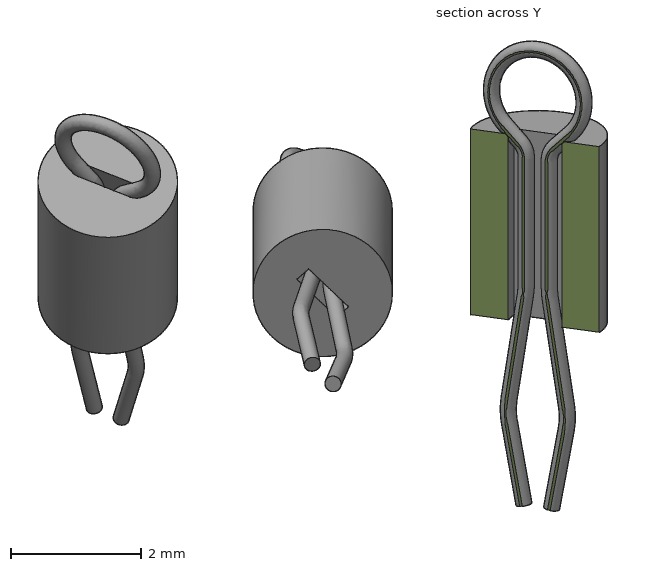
import cadquery as cq
import math

housing_diameter = 2.14
housing_height = 3.05

wire_diameter = 0.25
loop_radius = 0.76
loop_rise = 1.525
loop_end_angle = 45.0
leg_drop = 3.05
exit_x = 0.27
knee_x = 0.5
knee_z = -leg_drop / 2
tip_x = 0.23
neck_x = 0.19
leg_bend_radius = 1.14
neck_bend_radius = 0.305

wire_radius = wire_diameter / 2
loop_center_z = housing_height + loop_rise - loop_radius - wire_radius
end_angle = math.radians(loop_end_angle)
loop_end_x = loop_radius * math.cos(end_angle)
loop_end_z = loop_center_z - loop_radius * math.sin(end_angle)
entry_slope = math.tan(end_angle)
entry_x = loop_end_x - (loop_end_z - housing_height) * entry_slope
neck_top_z = loop_end_z - (loop_end_x - neck_x) / entry_slope
neck_bottom_z = knee_z * (neck_x - exit_x) / (knee_x - exit_x)
entry_bore_length = 2 * (housing_height - neck_top_z) / math.cos(end_angle)
tip_angle = math.atan2(knee_x - tip_x, leg_drop + knee_z)
tip_z = -leg_drop + wire_radius * math.sin(tip_angle)


def rounded_corner(before, corner, after, radius):
    """Start, middle and end points of the arc that rounds a corner."""
    corner = cq.Vector(*corner)
    back = (cq.Vector(*before) - corner).normalized()
    ahead = (cq.Vector(*after) - corner).normalized()
    half_angle = back.getAngle(ahead) / 2
    setback = radius / math.tan(half_angle)
    middle_distance = radius / math.sin(half_angle) - radius
    middle = corner + (back + ahead).normalized() * middle_distance
    return corner + back * setback, middle, corner + ahead * setback


def leg_edges(side):
    """Centreline edges from the loop end to the leg tip; side is -1 or +1 along X."""
    loop_end = (side * loop_end_x, 0, loop_end_z)
    neck_top = (side * neck_x, 0, neck_top_z)
    neck_bottom = (side * neck_x, 0, neck_bottom_z)
    knee = (side * knee_x, 0, knee_z)
    tip = (side * tip_x, 0, tip_z)
    bends = [
        rounded_corner(loop_end, neck_top, neck_bottom, neck_bend_radius),
        rounded_corner(neck_top, neck_bottom, knee, leg_bend_radius),
        rounded_corner(neck_bottom, knee, tip, leg_bend_radius),
    ]
    edges = []
    start = cq.Vector(*loop_end)
    for bend_start, bend_middle, bend_end in bends:
        edges.append(cq.Edge.makeLine(start, bend_start))
        edges.append(cq.Edge.makeThreePointArc(bend_start, bend_middle, bend_end))
        start = bend_end
    edges.append(cq.Edge.makeLine(start, cq.Vector(*tip)))
    return edges


def make_wire():
    loop = cq.Edge.makeThreePointArc(
        cq.Vector(-loop_end_x, 0, loop_end_z),
        cq.Vector(0, 0, loop_center_z + loop_radius),
        cq.Vector(loop_end_x, 0, loop_end_z),
    )
    path = cq.Wire.assembleEdges(leg_edges(-1)[::-1] + [loop] + leg_edges(1))
    tip_direction = (math.sin(tip_angle), 0, -math.cos(tip_angle))
    tip_plane = cq.Plane(origin=(-tip_x, 0, tip_z), xDir=(0, 1, 0), normal=tip_direction)
    return cq.Workplane(tip_plane).circle(wire_radius).sweep(path)


def entry_bore(side):
    """Slanted bore that lets the wire leave the top end of the slot."""
    start = cq.Vector(side * neck_x, 0, neck_top_z)
    direction = cq.Vector(side * math.sin(end_angle), 0, math.cos(end_angle))
    return cq.Workplane(cq.Solid.makeCylinder(wire_radius, entry_bore_length, start, direction))


def make_housing():
    housing = cq.Workplane("XY").circle(housing_diameter / 2).extrude(housing_height)
    slot = cq.Workplane("XY").rect(2 * entry_x, wire_diameter).extrude(housing_height)
    housing = housing.cut(slot)
    for side in (-1, 1):
        housing = housing.cut(entry_bore(side))
    return housing.solids()


housing = make_housing()
wire = make_wire()

result = cq.Compound.makeCompound([housing.val(), wire.val()])